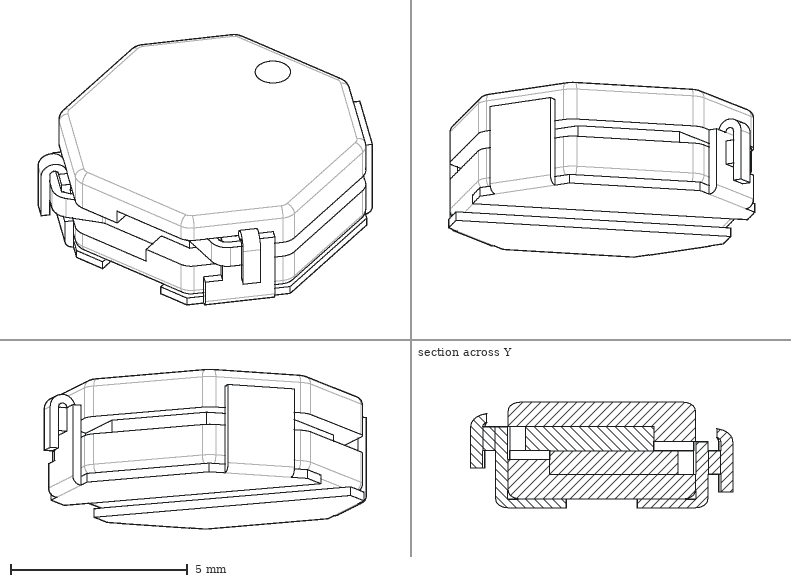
import cadquery as cq
import math

half_width = 4.0
half_flat = 1.9
corner_radius = 0.5
rim_radius = 0.25
core_bottom = 0.25
core_top = 3.0
mid_height = (core_bottom + core_top) / 2
gap_height = 0.5
post_half_width = 3.25
post_half_flat = 1.475
notch_reach = 0.5
corner_distance = (half_width + half_flat) / math.sqrt(2)

mark_radius = 0.5
mark_offset = 3.0
mark_depth = 0.1

wire_thickness = 0.25
wire_height = 0.675
wire_run_angle = math.radians(21)
wire_bend_radius = 0.29
wire_bend_start = 0.315
wire_post_radius = 0.25

sheet = core_bottom
strip_inner_x = 1.0
clip_half_width = 1.0
rear_clip_top = 2.5
clip_face = corner_distance + sheet
clip_step = 0.5
hook_start = -0.5
hook_end = 0.0
hook_drop = 0.5

notch_back = -post_half_width + wire_thickness
notch_floor = mid_height - wire_height
notch_roof = mid_height + wire_height
gap_floor = mid_height - gap_height / 2
gap_roof = mid_height + gap_height / 2
front_angle = 225
rear_angle = 135


def octagon(half, flat, bottom, top):
    outline = [
        (half, flat), (flat, half), (-flat, half), (-half, flat),
        (-half, -flat), (-flat, -half), (flat, -half), (half, -flat),
    ]
    return cq.Workplane("XY").workplane(offset=bottom).polyline(outline).close().extrude(top - bottom)


def block(x0, x1, y0, y1, z0, z1):
    return cq.Workplane("XY").box(x1 - x0, y1 - y0, z1 - z0, centered=False).translate((x0, y0, z0))


def mirror_to_right(body):
    return body.mirror("YZ")


def make_core():
    drum = octagon(half_width, half_flat, core_bottom, core_top)
    drum = drum.edges("|Z").fillet(corner_radius)
    drum = drum.faces("<Z or >Z").edges().fillet(rim_radius)
    gap = block(-half_width, half_width, -half_width, half_width, gap_floor, gap_roof)
    gap = gap.cut(octagon(post_half_width, post_half_flat, gap_floor, gap_roof))
    lower_notch = block(-half_width, notch_reach, -half_width, notch_back, notch_floor, mid_height)
    upper_notch = block(-notch_reach, half_width, -half_width, notch_back, mid_height, notch_roof)
    return drum.cut(gap).cut(lower_notch).cut(upper_notch)


def make_mark():
    disc = cq.Workplane("XY").workplane(offset=core_top - mark_depth)
    return disc.center(0, mark_offset).circle(mark_radius).extrude(mark_depth)


def on_circle(centre, radius, angle):
    return (centre[0] + radius * math.cos(angle), centre[1] + radius * math.sin(angle))


def corner_point(outward, along):
    """Point given by its distances out of, and along, the front left corner."""
    return ((along - outward) / math.sqrt(2), -(along + outward) / math.sqrt(2))


def make_left_wire(bottom):
    inner_radius = wire_bend_radius
    outer_radius = inner_radius + wire_thickness
    inner_face = clip_face
    outer_face = clip_face + wire_thickness
    bend_centre = corner_point(inner_face - inner_radius, wire_bend_start)

    bend_start = math.radians(front_angle - 360)
    bend_end = wire_run_angle - math.pi / 2
    bend_middle = (bend_start + bend_end) / 2

    post_outer = wire_post_radius + wire_thickness
    run_start = on_circle(bend_centre, outer_radius, bend_end)
    run_normal_y = math.cos(wire_run_angle)
    run_end_y = -post_half_width - wire_post_radius * (1 - run_normal_y)
    run_end_x = run_start[0] + (run_end_y - run_start[1]) / math.tan(wire_run_angle)
    post_centre = (
        run_end_x + wire_post_radius * math.sin(wire_run_angle),
        -post_half_width - wire_post_radius,
    )
    post_start = math.pi / 2 + wire_run_angle
    post_middle = math.pi / 2 + wire_run_angle / 2
    post_end = math.pi / 2

    return (
        cq.Workplane("XY").workplane(offset=bottom)
        .moveTo(*corner_point(outer_face, hook_start))
        .lineTo(*on_circle(bend_centre, outer_radius, bend_start))
        .threePointArc(on_circle(bend_centre, outer_radius, bend_middle), run_start)
        .lineTo(*on_circle(post_centre, wire_post_radius, post_start))
        .threePointArc(
            on_circle(post_centre, wire_post_radius, post_middle),
            on_circle(post_centre, wire_post_radius, post_end),
        )
        .lineTo(post_half_flat, -post_half_width)
        .lineTo(post_half_flat, notch_back)
        .lineTo(*on_circle(post_centre, post_outer, post_end))
        .threePointArc(
            on_circle(post_centre, post_outer, post_middle),
            on_circle(post_centre, post_outer, post_start),
        )
        .lineTo(*on_circle(bend_centre, inner_radius, bend_end))
        .threePointArc(
            on_circle(bend_centre, inner_radius, bend_middle),
            on_circle(bend_centre, inner_radius, bend_start),
        )
        .lineTo(*corner_point(inner_face, hook_start))
        .close()
        .extrude(wire_height)
    )


def clip_plate(top):
    bend_offset = sheet / math.sqrt(2)
    return (
        cq.Workplane("XZ", origin=(0, clip_half_width, 0))
        .moveTo(corner_distance, 0)
        .threePointArc((corner_distance + bend_offset, sheet - bend_offset), (clip_face, sheet))
        .lineTo(clip_face, top)
        .lineTo(corner_distance, top)
        .close()
        .extrude(2 * clip_half_width)
    )


def make_front_clip(top, wire_bottom):
    plate = clip_plate(top)
    plate = plate.cut(block(corner_distance, clip_face, clip_step, clip_half_width, notch_floor, top))
    inner_radius = wire_thickness / 2
    outer_radius = inner_radius + sheet
    arch_centre = clip_face + inner_radius
    tip = wire_bottom - hook_drop
    hook = (
        cq.Workplane("XZ", origin=(0, hook_end, 0))
        .moveTo(arch_centre - outer_radius, top)
        .threePointArc((arch_centre, top + outer_radius), (arch_centre + outer_radius, top))
        .lineTo(arch_centre + outer_radius, tip)
        .lineTo(arch_centre + inner_radius, tip)
        .lineTo(arch_centre + inner_radius, top)
        .threePointArc((arch_centre, top + inner_radius), (arch_centre - inner_radius, top))
        .close()
        .extrude(hook_end - hook_start)
    )
    return plate.union(hook)


def turn_to(clip, angle):
    return clip.rotate((0, 0, 0), (0, 0, 1), angle)


def make_left_terminal(front_clip_top, wire_bottom):
    strip = octagon(half_width, half_flat, 0, sheet)
    strip = strip.intersect(block(-half_width, -strip_inner_x, -half_width, half_width, 0, sheet))
    front_clip = turn_to(make_front_clip(front_clip_top, wire_bottom), front_angle)
    rear_clip = turn_to(clip_plate(rear_clip_top), rear_angle)
    return strip.union(front_clip).union(rear_clip)


mark = make_mark()
left_wire = make_left_wire(notch_floor)
right_wire = mirror_to_right(make_left_wire(mid_height))
core = make_core().cut(left_wire).cut(right_wire).cut(mark)
left_terminal = make_left_terminal(gap_roof, notch_floor).cut(left_wire)
right_terminal = mirror_to_right(make_left_terminal(notch_roof, mid_height)).cut(right_wire)

bodies = [core, mark, left_wire, right_wire, left_terminal, right_terminal]
result = cq.Compound.makeCompound([solid for body in bodies for solid in body.solids().vals()])